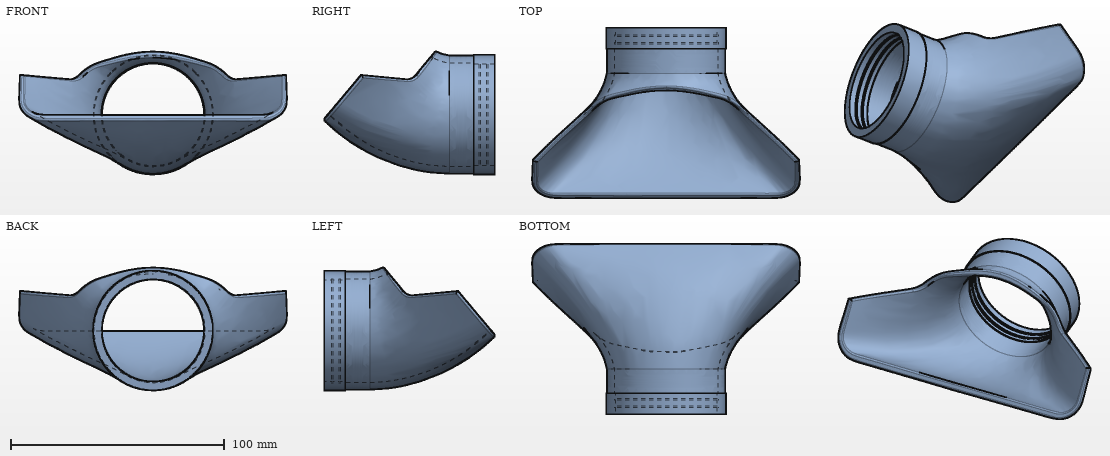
import cadquery as cq
import math

pipe_radius = 28.1
pipe_length = 9.9
bore_radius = 23.8
groove_starts = (3.4, 6.8)
groove_width = 0.8
groove_depth = 0.5

neck_radius = 27.7
neck_end = 21.3
wall = 3.5

pivot_height = 67.7
mouth_angle = 40.0
mouth_half_width = 63.9
mouth_bottom = 91.6
mouth_top = 28.2
mouth_corner = 11.9
flare_power = 1.45
fan_steps = 6

corner_start = 50.0
corner_end = 80.0

wing_front = (-62.7, 18.6)
wing_back = (-38.9, 16.3)
roof_edge = (-27.8, 29.6)
notch_radius = 5.0
rim_round = 0.9

cut_height = 75.3
reach = 2 * mouth_half_width


def mix(start, end, share):
    return start + (end - start) * share


def half_section(share, inset):
    """Points (x, distance from fan axis) from the lowest point to the highest."""
    radius = neck_radius - inset
    half_width = mouth_half_width - inset
    bottom = mouth_bottom - inset
    top = mouth_top + inset
    corner = mouth_corner - inset
    flat = half_width - corner
    flat_steps, corner_steps, side_steps = 5, 6, 6
    rows = []
    for i in range(flat_steps):
        part = i / flat_steps
        rows.append((corner_start * part, flat * part, bottom))
    for i in range(corner_steps):
        part = i / corner_steps
        turn = math.radians(90 * part)
        rows.append((mix(corner_start, corner_end, part),
                     flat + corner * math.sin(turn),
                     bottom - corner + corner * math.cos(turn)))
    for i in range(side_steps):
        part = i / side_steps
        rows.append((mix(corner_end, 180 - corner_start, part),
                     half_width,
                     mix(bottom - corner, top + corner, part)))
    for i in range(flat_steps + 1):
        part = i / flat_steps
        rows.append((mix(180 - corner_start, 180, part), flat * (1 - part), top))
    points = []
    for angle, mouth_x, mouth_distance in rows:
        turn = math.radians(angle)
        points.append((mix(radius * math.sin(turn), mouth_x, share),
                       mix(pivot_height + radius * math.cos(turn), mouth_distance, share)))
    return points


def closed_wire(half, lean, plane_y):
    """Mirror a half section and place it on a plane leaning about the fan axis."""
    outline = half[::-1] + [(-x, distance) for x, distance in half[1:-1]]
    points = [cq.Vector(x,
                        plane_y - distance * math.sin(lean),
                        pivot_height - distance * math.cos(lean))
              for x, distance in outline]
    return cq.Wire.assembleEdges([cq.Edge.makeSpline(points, periodic=True)])


def duct(inset):
    """Flaring scoop, with a straight neck joining it to the pipe end."""
    sections = []
    for step in range(fan_steps + 1):
        progress = step / fan_steps
        lean = math.radians(mouth_angle * progress)
        sections.append(closed_wire(half_section(progress ** flare_power, inset), lean, -neck_end))
    scoop = cq.Workplane(cq.Solid.makeLoft(sections))
    neck = cq.Solid.extrudeLinear(sections[0], [], cq.Vector(0, neck_end - pipe_length, 0))
    return scoop.union(cq.Workplane(neck))


def tube(radius, start, end):
    return cq.Workplane("XZ", origin=(0, -start, 0)).circle(radius).extrude(end - start)


def pipe_bore():
    """Bore with shallow ring grooves."""
    bore = tube(bore_radius, 0, pipe_length)
    for start in groove_starts:
        bore = bore.union(tube(bore_radius + groove_depth, start, start + groove_width))
    return bore


def upper_opening():
    """Everything above the wings and in front of the roof edge."""
    roof_slope = (roof_edge[1] - wing_back[1]) / (roof_edge[0] - wing_back[0])
    wing_slope = (wing_front[1] - wing_back[1]) / (wing_front[0] - wing_back[0])
    roof_cut_end = wing_back[0] + (cut_height - wing_back[1]) / roof_slope
    front_height = wing_back[1] + wing_slope * (-reach - wing_back[0])
    profile = [(-reach, front_height), wing_back, (roof_cut_end, cut_height), (-reach, cut_height)]
    block = cq.Workplane("YZ").polyline(profile).close().extrude(reach, both=True)
    at_notch = cq.selectors.BoxSelector((-2 * reach, wing_back[0] - 1.3, wing_back[1] - 1.3),
                                        (2 * reach, wing_back[0] + 1.3, wing_back[1] + 1.3))
    return block.edges(at_notch).fillet(notch_radius)


def rim_edges(shell):
    """Outer and inner borders of the rim around the mouth, wings and roof edge."""
    in_front = cq.selectors.BoxSelector((-reach, -reach, -pipe_radius), (reach, roof_edge[0], cut_height))
    rim_faces = shell.faces(in_front).faces("not %BSPLINE")
    return [edge for edge in rim_faces.edges().vals()
            if any(face.geomType() == "BSPLINE" for face in edge.ancestors(shell.val(), "Face").Faces())]


outer = tube(pipe_radius, 0, pipe_length).union(duct(0))
shell = outer.cut(duct(wall)).cut(pipe_bore()).cut(upper_opening())
result = shell.newObject(rim_edges(shell)).fillet(rim_round)